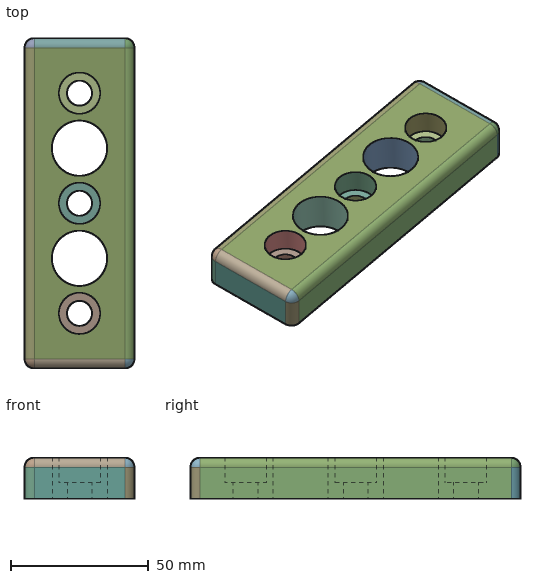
import cadquery as cq

length = 120.0
width = length / 3
height = length / 8
edge_radius = 3.5

hole_pitch = length / 6
large_hole_diameter = length / 6
screw_hole_diameter = 9.0
counterbore_diameter = 15.0
counterbore_depth = 9.0

large_hole_centers = [(0, -hole_pitch), (0, hole_pitch)]
screw_hole_centers = [(0, -2 * hole_pitch), (0, 0), (0, 2 * hole_pitch)]

block = cq.Workplane("XY").box(width, length, height, centered=(True, True, False))
block = block.edges("|Z").fillet(edge_radius)
block = block.faces(">Z").edges().fillet(edge_radius)

top_plane = cq.Workplane("XY", origin=(0, 0, height))
large_holes = top_plane.pushPoints(large_hole_centers).circle(large_hole_diameter / 2).extrude(-height)
screw_holes = top_plane.pushPoints(screw_hole_centers).circle(screw_hole_diameter / 2).extrude(-height)
counterbores = (
    top_plane.pushPoints(screw_hole_centers)
    .circle(counterbore_diameter / 2)
    .extrude(-counterbore_depth)
)

result = block.cut(large_holes).cut(screw_holes).cut(counterbores)